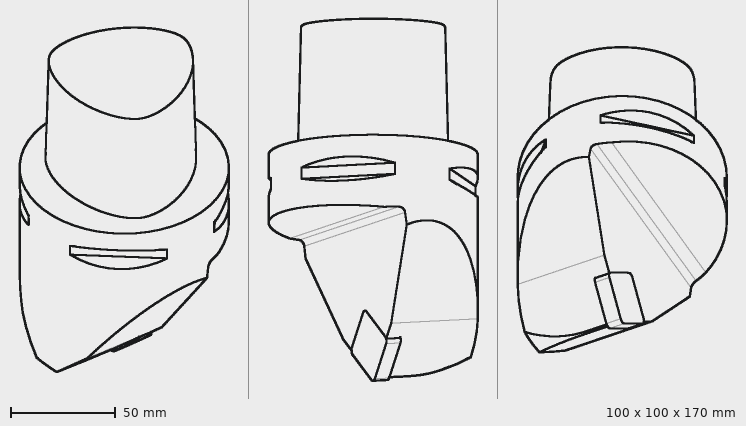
import cadquery as cq
import math


shank_length = 60.0
shank_width_at_flange = 72.0
shank_taper = 1 / 20
lobe_height = 2.85
lobe_count = 3
curve_points = 72

body_diameter = 100.0
body_radius = body_diameter / 2
tip_depth = 110.0

groove_depth_position = 16.1
groove_flat_height = 5.4
groove_mouth_height = 11.6
groove_floor_distance = 44.3
groove_angles = (45, 135, 225, 315)

rake_angle = 8.0
ceiling_outer_depth = 32.6
ceiling_kink_depth = 35.0
ceiling_inner_depth = 34.6
ceiling_kink_y = 20.0
ceiling_fillet = 3.0

insert_size = 25.4
insert_thickness = 7.94
insert_corner_radius = 2.4
insert_overhang = 1.2

flank_knee_half_width = 23.3
upper_flank_angle = 59.3
corner_setback = (math.sqrt(2) - 1) * insert_corner_radius
vee_vertex_height = insert_overhang * math.sqrt(2) - corner_setback
flank_knee_height = vee_vertex_height + flank_knee_half_width

keel_height = 1.35
keel_arc_start = 20.0
keel_arc_radius = 77.0

margin = 10.0
reach = body_radius + margin


def tilt_to_rake(shape):
    """Move a shape built with the rake face on Y = 0 and the tip at the origin to its place."""
    return shape.rotate((0, 0, 0), (1, 0, 0), -rake_angle).translate((0, 0, -tip_depth))


def constant_width_wire(width, height):
    """Closed smooth curve that has the same width in every direction."""
    points = []
    for step in range(curve_points):
        angle = 2 * math.pi * step / curve_points
        lobe_angle = lobe_count * (angle - math.pi / 2)
        support = width / 2 + lobe_height * math.cos(lobe_angle)
        support_change = -lobe_count * lobe_height * math.sin(lobe_angle)
        x = support * math.cos(angle) - support_change * math.sin(angle)
        y = support * math.sin(angle) + support_change * math.cos(angle)
        points.append(cq.Vector(x, y, height))
    return cq.Wire.assembleEdges([cq.Edge.makeSpline(points, periodic=True)])


def make_shank():
    end_width = shank_width_at_flange - shank_taper * shank_length
    flange_wire = constant_width_wire(shank_width_at_flange, 0)
    end_wire = constant_width_wire(end_width, shank_length)
    return cq.Workplane(cq.Solid.makeLoft([flange_wire, end_wire], True))


def make_groove(angle):
    """Trapezoidal groove with a flat floor, cut straight across the cylinder on the +X side."""
    half_floor = groove_flat_height / 2
    half_mouth = groove_mouth_height / 2
    wall_slope = (half_mouth - half_floor) / (body_radius - groove_floor_distance)
    half_outer = half_mouth + wall_slope * margin
    return (
        cq.Workplane("XZ")
        .polyline([
            (groove_floor_distance, -groove_depth_position - half_floor),
            (reach, -groove_depth_position - half_outer),
            (reach, -groove_depth_position + half_outer),
            (groove_floor_distance, -groove_depth_position + half_floor),
        ])
        .close()
        .extrude(reach, both=True)
        .rotate((0, 0, 0), (0, 0, 1), angle)
    )


def make_chip_space():
    """Everything in front of the rake face and below the ceiling."""
    rake_slope = math.tan(math.radians(rake_angle))
    corner_y = (tip_depth - ceiling_inner_depth) * rake_slope
    ceiling_slope = (ceiling_kink_depth - ceiling_outer_depth) / (body_radius - ceiling_kink_y)
    outline = [
        (-margin * rake_slope, -tip_depth - margin),
        (corner_y, -ceiling_inner_depth),
        (ceiling_kink_y, -ceiling_kink_depth),
        (reach, -ceiling_outer_depth + margin * ceiling_slope),
        (reach, -tip_depth - margin),
    ]
    corner = cq.selectors.NearestToPointSelector((0, corner_y, -ceiling_inner_depth))
    return (
        cq.Workplane("YZ")
        .polyline(outline)
        .close()
        .extrude(reach, both=True)
        .edges("|X")
        .edges(corner)
        .fillet(ceiling_fillet)
    )


def make_vee_envelope():
    """Solid between the flanks, extruded square to the rake face and open at the top."""
    upper_rise = (reach - flank_knee_half_width) * math.tan(math.radians(upper_flank_angle))
    shoulder_height = flank_knee_height + upper_rise
    top = tip_depth + 2 * margin
    envelope = (
        cq.Workplane("XZ")
        .polyline([
            (0, vee_vertex_height),
            (flank_knee_half_width, flank_knee_height),
            (reach, shoulder_height),
            (reach, top),
            (-reach, top),
            (-reach, shoulder_height),
            (-flank_knee_half_width, flank_knee_height),
        ])
        .close()
        .extrude(2 * reach, both=True)
    )
    return tilt_to_rake(envelope)


def make_keel_relief():
    """Material below the flat and the arc that trim the bottom edge of the vee."""
    arc_run = reach - keel_arc_start
    mid_run = arc_run / 2

    def arc_height(run):
        return keel_height + keel_arc_radius - math.sqrt(keel_arc_radius**2 - run**2)

    relief = (
        cq.Workplane("YZ")
        .moveTo(margin, keel_height)
        .lineTo(-keel_arc_start, keel_height)
        .threePointArc(
            (-keel_arc_start - mid_run, arc_height(mid_run)),
            (-reach, arc_height(arc_run)),
        )
        .lineTo(-reach, -2 * margin)
        .lineTo(margin, -2 * margin)
        .close()
        .extrude(reach, both=True)
    )
    return tilt_to_rake(relief)


def make_insert():
    """Square insert standing on one rounded corner, its top face flush with the rake face."""
    center_height = insert_size / math.sqrt(2) - corner_setback
    insert = (
        cq.Workplane("XZ")
        .rect(insert_size, insert_size)
        .extrude(insert_thickness)
        .edges("|Y")
        .fillet(insert_corner_radius)
        .rotate((0, 0, 0), (0, 1, 0), 45)
        .translate((0, 0, center_height))
    )
    return tilt_to_rake(insert)


def make_holder(insert):
    head = cq.Workplane("XY").circle(body_radius).extrude(-tip_depth - margin)
    head = head.intersect(make_vee_envelope())
    head = head.cut(make_chip_space()).cut(make_keel_relief())
    for angle in groove_angles:
        head = head.cut(make_groove(angle))
    return head.cut(insert).union(make_shank())


insert = make_insert()
holder = make_holder(insert)

result = cq.Compound.makeCompound([holder.val(), insert.val()])